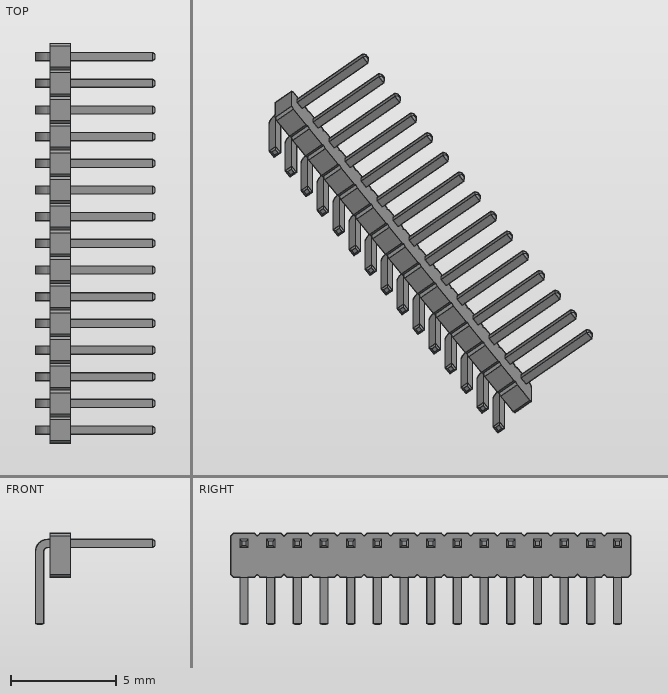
import cadquery as cq


pin_count = 15
row_length = 19.05
pitch = row_length / pin_count

body_width = 1.0
body_height = 2.1
notch_depth = 0.13

pin_size = 0.4
pin_top_gap = 0.29
pin_span = 5.7
total_height = 4.35
bend_standoff = 0.69
bend_outer_radius = 0.6
tip_inset = 0.1
long_tip_length = 0.11
short_tip_length = 0.05

pin_left = -bend_standoff
pin_right = pin_left + pin_span
pin_top = body_height - pin_top_gap
pin_bottom = body_height - total_height
tip_size = pin_size - 2 * tip_inset


def pin_y(index):
    """Y position of a pin, counted from the -Y end."""
    return (index - (pin_count - 1) / 2) * pitch


def make_body():
    """Join one chamfered cell per pin; neighbouring chamfers form the notches."""
    cell = cq.Workplane("XY").box(body_width, pitch, body_height, centered=(False, True, False))
    cell = cell.edges("|X").chamfer(notch_depth)
    body = cell.translate((0, pin_y(0), 0))
    for index in range(1, pin_count):
        body = body.union(cell.translate((0, pin_y(index), 0)))
    return body


def tapered_tip(plane, length):
    """Square frustum growing along the plane's normal from the end of a pin."""
    return (
        cq.Workplane(plane)
        .rect(pin_size, pin_size)
        .workplane(offset=length)
        .rect(tip_size, tip_size)
        .loft(ruled=True)
    )


def make_pin():
    """Square pin centred on Y = 0, with a rounded bend and two tapered ends."""
    leg_end = pin_bottom + short_tip_length
    contact_end = pin_right - long_tip_length
    inner_left = pin_left + pin_size
    inner_top = pin_top - pin_size
    shank = (
        cq.Workplane("XZ")
        .moveTo(pin_left, leg_end)
        .lineTo(pin_left, pin_top)
        .lineTo(contact_end, pin_top)
        .lineTo(contact_end, inner_top)
        .lineTo(inner_left, inner_top)
        .lineTo(inner_left, leg_end)
        .close()
        .extrude(pin_size / 2, both=True)
    )
    outer_corner = cq.selectors.NearestToPointSelector((pin_left, 0, pin_top))
    inner_corner = cq.selectors.NearestToPointSelector((inner_left, 0, inner_top))
    shank = shank.edges("|Y").edges(outer_corner).fillet(bend_outer_radius)
    shank = shank.edges("|Y").edges(inner_corner).fillet(bend_outer_radius - pin_size)

    leg_center_x = pin_left + pin_size / 2
    contact_center_z = pin_top - pin_size / 2
    leg_plane = cq.Plane((leg_center_x, 0, leg_end), xDir=(1, 0, 0), normal=(0, 0, -1))
    contact_plane = cq.Plane((contact_end, 0, contact_center_z), xDir=(0, 1, 0), normal=(1, 0, 0))
    leg_tip = tapered_tip(leg_plane, short_tip_length)
    contact_tip = tapered_tip(contact_plane, long_tip_length)
    return shank.union(leg_tip).union(contact_tip)


result = make_body()
pin = make_pin()
for pin_index in range(pin_count):
    result = result.union(pin.translate((0, pin_y(pin_index), 0)))